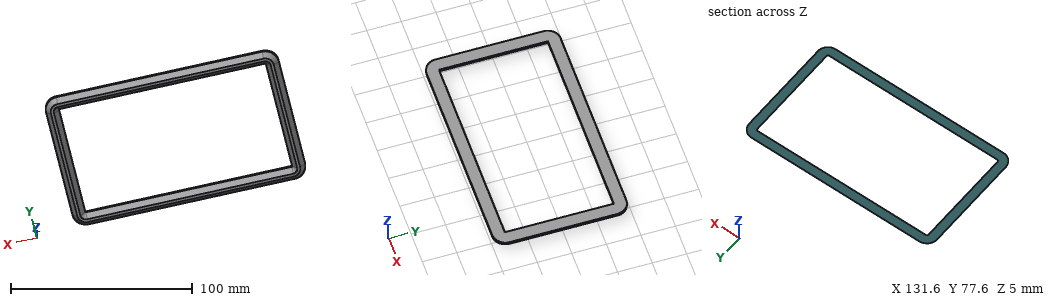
import cadquery as cq

opening_length = 117.0
opening_width = 63.0
opening_corner_radius = 0.25

bar_width = 7.3
bar_height = 5.0
bevel_height = 3.3
bevel_width = 2.8

path_half_length = opening_length / 2 - opening_corner_radius
path_half_width = opening_width / 2 - opening_corner_radius


def corner_centre_path():
    """Closed rectangle that starts halfway along the -X side."""
    return (
        cq.Workplane("XY")
        .moveTo(-path_half_length, 0)
        .lineTo(-path_half_length, path_half_width)
        .lineTo(path_half_length, path_half_width)
        .lineTo(path_half_length, -path_half_width)
        .lineTo(-path_half_length, -path_half_width)
        .close()
    )


def bar_section():
    """Bar profile on the -X side: upright walls on top, bevelled inwards below."""
    inner_x = -opening_length / 2
    outer_x = inner_x - bar_width
    return (
        cq.Workplane("XZ")
        .moveTo(inner_x, bevel_height)
        .lineTo(inner_x, bar_height)
        .lineTo(outer_x, bar_height)
        .lineTo(outer_x, bevel_height)
        .lineTo(outer_x + bevel_width, 0)
        .lineTo(inner_x - bevel_width, 0)
        .close()
    )


result = bar_section().sweep(corner_centre_path(), transition="round")